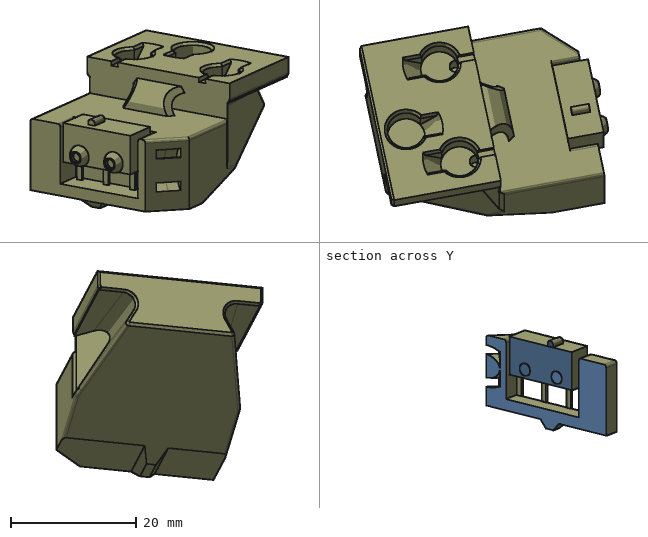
import cadquery as cq
import math


plate_width = 27.08
overall_length = 37.05
overall_height = 19.3
plate_half_width = plate_width / 2
plate_top = 6.0
plate_length = 17.75
plate_edge_depth = 2.85
plate_edge_chamfer = 0.5
plate_edge_round = 0.7
neck_left = -plate_half_width + plate_edge_chamfer
neck_right_inset = 0.22
neck_right = plate_half_width - neck_right_inset
block_left = -13.4
block_right = plate_half_width
block_front = -16.9
block_bottom = -11.95
bevel_leg = 5.07
edge_round = 0.5
rear_chamfer = 0.37
OVERCUT = 22.22
MARGIN = 0.37

nose_bottom = plate_top - overall_height
rear_bottom = -3.07
slope_end_y = -10.85
nose_center_x = -1.8
nose_top_width = 3.85
nose_bottom_width = 1.55

ceiling = plate_top - plate_edge_depth - plate_edge_chamfer
recess_wall_y = 0.22
recess_lip_y = -0.6
recess_skew = 5.5
recess_lean = 29.0
recess_foot_y = 2.15
recess_foot_z = -8.07
recess_round = 2.0
rim_round = 0.75

magnet_diameter = 6.0
pocket_depth = 2.93
pocket_chamfer = 0.45
pry_slot_width = 3.1
pry_slot_chamfer = 0.4
pry_slot_reach = 2.9
front_pocket_x = 8.35
front_pocket_y = 5.7
rear_pocket_x = -1.95
rear_pocket_y = 13.15
groove_width = 1.22
groove_depth = 0.75
wire_hole_diameter = 2.0
wire_hole_y = 3.05
wire_hole_depth = 3.0

loop_outer_radius = 4.0
loop_inner_radius = 3.0
loop_center_x = 0.15
loop_apex_half_width = 3.0

tie_center_z = -5.25
tie_outer_radius = 3.5
tie_inner_radius = 2.0
tie_width = 4.0
tie_center_x = 11.15

switch_width = 12.8
switch_depth = 5.8
switch_height = 6.5
switch_top = 0.7
switch_front = -18.1
switch_back = switch_front + switch_depth
switch_middle_y = switch_front + switch_depth / 2
switch_bottom = switch_top - switch_height
contact_spacing = 5.05
contact_width = 0.9
contact_thickness = 0.5
contact_bottom = -9.22
switch_pocket_left = -7.75
switch_pocket_right = 7.05
switch_pocket_bottom = -9.95

button_x = -1.95
button_width = 1.25
button_length = 2.93
button_height = 0.95

screw_spacing = 6.5
screw_z = -4.25
screw_length = 10.0
shank_diameter = 2.0
head_diameter = 3.5
head_flat_diameter = 2.0
head_height = switch_front - (plate_length - overall_length)
head_bulge_radius = 1.52
socket_diameter = 1.6
socket_depth = 0.6
screw_positions = [-screw_spacing / 2, screw_spacing / 2]


def box(x_min, x_max, y_min, y_max, z_min, z_max):
    size = (x_max - x_min, y_max - y_min, z_max - z_min)
    return cq.Workplane("XY").box(*size, centered=False).translate((x_min, y_min, z_min))


def underside_z(y):
    """Height of the sloped underside at a given Y."""
    slope = (rear_bottom - nose_bottom) / (plate_length - slope_end_y)
    return nose_bottom + slope * (y - slope_end_y)


def make_plate():
    """Plate with its chamfered lower edges and the neck below it."""
    edge_bottom = plate_top - plate_edge_depth
    profile = [
        (plate_half_width, plate_top),
        (plate_half_width, edge_bottom),
        (neck_right, edge_bottom - (plate_half_width - neck_right)),
        (neck_right, 0),
        (neck_left, 0),
        (neck_left, ceiling),
        (-plate_half_width, edge_bottom),
        (-plate_half_width, plate_top),
    ]
    plate = cq.Workplane("XZ").polyline(profile).close().extrude(-plate_length)
    edge_line = cq.selectors.BoxSelector(
        (-plate_half_width - MARGIN, -MARGIN, edge_bottom - MARGIN / 2),
        (plate_half_width + MARGIN, plate_length + MARGIN, edge_bottom + MARGIN / 2))
    return plate.edges("|Y").edges(edge_line).fillet(plate_edge_round)


def make_block():
    """Block under the deck, with its corner bevel, switch pocket and rounded deck edges."""
    outline = [
        (block_left, plate_length),
        (block_left, block_front),
        (block_right - bevel_leg, block_front),
        (block_right, block_front + bevel_leg),
        (block_right, plate_length),
    ]
    block = cq.Workplane("XY").polyline(outline).close().extrude(block_bottom)
    block = block.cut(make_switch_pocket())
    return block.faces(">Z").edges("not |X").fillet(edge_round)


def make_switch_pocket():
    """Open pocket for the switch; its back wall is the back of the switch."""
    return box(switch_pocket_left, switch_pocket_right, block_front - MARGIN, switch_back,
               switch_pocket_bottom, MARGIN)


def make_nose():
    """Tapered ridge under the block, running back into the slope, with a 45 degree front end."""
    profile = [
        (nose_center_x - nose_top_width / 2, block_bottom),
        (nose_center_x + nose_top_width / 2, block_bottom),
        (nose_center_x + nose_bottom_width / 2, nose_bottom),
        (nose_center_x - nose_bottom_width / 2, nose_bottom),
    ]
    ridge = cq.Workplane("XZ").polyline(profile).close().extrude(-block_front)
    nose_height = block_bottom - nose_bottom
    side = [
        (0, block_bottom),
        (block_front, block_bottom),
        (block_front + nose_height, nose_bottom),
        (0, nose_bottom),
    ]
    front_bevel = cq.Workplane("YZ").polyline(side).close().extrude(OVERCUT, both=True)
    return ridge.intersect(front_bevel).cut(make_slope_cutter())


def make_slope_cutter():
    """Everything below the sloped underside."""
    side = [
        (plate_length + MARGIN, underside_z(plate_length + MARGIN)),
        (slope_end_y, nose_bottom),
        (plate_length + MARGIN, nose_bottom - MARGIN),
    ]
    return cq.Workplane("YZ").polyline(side).close().extrude(OVERCUT, both=True)


def make_left_recess():
    """Recess under the left side of the plate: a leaning skewed face behind a 45 degree wall."""
    rise = ceiling - recess_foot_z
    lean = math.tan(math.radians(recess_lean))
    profile = [
        (-OVERCUT * lean, recess_foot_z - OVERCUT),
        (rise * lean, ceiling),
        (-OVERCUT * lean, ceiling),
    ]
    scoop = (
        cq.Workplane("XZ").polyline(profile).close().extrude(OVERCUT, both=True)
        .edges("|Y").edges(">X").fillet(recess_round)
        .rotate((0, 0, 0), (0, 0, 1), -recess_skew)
        .translate((block_left, recess_foot_y, 0))
    )
    plan = [
        (-OVERCUT, recess_lip_y),
        (block_left, recess_lip_y),
        (neck_left, recess_wall_y),
        (neck_left + OVERCUT, recess_wall_y + OVERCUT),
        (-OVERCUT, recess_wall_y + OVERCUT),
    ]
    walls = cq.Workplane("XY").polyline(plan).close().extrude(OVERCUT, both=True)
    return scoop.intersect(walls)


def make_magnet_pocket(x, y, slot_direction):
    """Chamfered round pocket with a conical pry slot on its +Y (1) or -Y (-1) side."""
    radius = magnet_diameter / 2
    floor = plate_top - pocket_depth
    pocket = cq.Workplane("XY", origin=(0, 0, floor)).circle(radius).extrude(pocket_depth)
    rim = cq.Workplane("XY").add(cq.Solid.makeCone(
        radius, radius + pocket_chamfer, pocket_chamfer,
        pnt=cq.Vector(0, 0, plate_top - pocket_chamfer)))
    ramp = cq.Workplane("XY").add(cq.Solid.makeCone(
        radius, radius + pry_slot_reach, pocket_depth, pnt=cq.Vector(0, 0, floor)))
    half_width = pry_slot_width / 2
    slot_profile = [
        (-half_width, floor),
        (half_width, floor),
        (half_width, plate_top - pry_slot_chamfer),
        (half_width + pry_slot_chamfer, plate_top),
        (-half_width - pry_slot_chamfer, plate_top),
        (-half_width, plate_top - pry_slot_chamfer),
    ]
    slot = cq.Workplane("XZ").polyline(slot_profile).close().extrude(-slot_direction * OVERCUT)
    return pocket.union(rim).union(slot.intersect(ramp)).translate((x, y, 0))


def make_front_pocket_extras(x):
    """Groove from a front pocket to the plate's front wall, and the wire hole in the pocket floor."""
    pocket_front = front_pocket_y - magnet_diameter / 2
    groove = box(x - groove_width / 2, x + groove_width / 2, -MARGIN, pocket_front + MARGIN,
                 plate_top - groove_depth, plate_top)
    floor = plate_top - pocket_depth
    wire_hole = (
        cq.Workplane("XY", origin=(x, wire_hole_y, floor))
        .circle(wire_hole_diameter / 2).extrude(-wire_hole_depth)
    )
    return groove.union(wire_hole)


def make_loop():
    """Quarter ring between plate wall and deck, its two ends cut back towards the apex at 45 degrees."""
    inner_middle = loop_inner_radius * math.sqrt(0.5)
    outer_middle = loop_outer_radius * math.sqrt(0.5)
    quarter = (
        cq.Workplane("YZ").moveTo(-loop_inner_radius, 0)
        .threePointArc((-inner_middle, inner_middle), (0, loop_inner_radius))
        .lineTo(0, loop_outer_radius)
        .threePointArc((-outer_middle, outer_middle), (-loop_outer_radius, 0))
        .close().extrude(OVERCUT, both=True)
    )
    foot_half_width = loop_apex_half_width + loop_outer_radius
    ends = (
        cq.Workplane("XY").polyline([
            (-foot_half_width, 0),
            (foot_half_width, 0),
            (loop_apex_half_width, -loop_outer_radius),
            (-loop_apex_half_width, -loop_outer_radius),
        ]).close().extrude(OVERCUT, both=True)
        .rotate((0, 0, 0), (1, 0, 0), -45)
    )
    return quarter.intersect(ends).translate((loop_center_x, 0, 0))


def make_tie_channel():
    """Half ring channel for a cable tie, opening in the corner bevel."""
    bevel_offset = tie_center_x - (block_right - bevel_leg)
    ring = (
        cq.Workplane("XY").circle(tie_outer_radius).circle(tie_inner_radius)
        .extrude(tie_width / 2, both=True)
        .rotate((0, 0, 0), (0, 1, 0), 90)
        .rotate((0, 0, 0), (0, 0, 1), 45)
    )
    return ring.translate((tie_center_x, block_front + bevel_offset, tie_center_z))


def round_recess_rim(body):
    """Soften the short lower rims where the recesses meet the sides of the block."""
    for side_x in (block_left, block_right):
        rim_point = (side_x, recess_foot_y / 2, recess_foot_z)
        body = body.edges(cq.selectors.NearestToPointSelector(rim_point)).fillet(rim_round)
    return body


def round_slope_edges(body):
    """Round the long side edges of the sloped underside."""
    middle_y = plate_length / 4
    underside = body.faces(cq.selectors.NearestToPointSelector((0, middle_y, underside_z(middle_y))))
    return underside.edges("not |X").fillet(edge_round)


def make_screw_holes():
    """Holes that fit the screw shanks."""
    return (
        cq.Workplane("XZ", origin=(0, switch_front, screw_z))
        .pushPoints([(x, 0) for x in screw_positions])
        .circle(shank_diameter / 2).extrude(-screw_length)
    )


def make_housing():
    body = make_plate().union(make_block()).cut(make_slope_cutter())
    left_recess = make_left_recess()
    body = body.cut(left_recess).cut(left_recess.mirror("YZ"))
    body = round_slope_edges(round_recess_rim(body))
    body = body.faces(">Y").chamfer(rear_chamfer)
    body = body.union(make_nose())
    body = body.union(make_loop()).cut(make_tie_channel())
    for x in (-front_pocket_x, front_pocket_x):
        body = body.cut(make_magnet_pocket(x, front_pocket_y, 1))
        body = body.cut(make_front_pocket_extras(x))
    body = body.cut(make_magnet_pocket(rear_pocket_x, rear_pocket_y, -1))
    return body.cut(make_screw_holes())


def make_switch():
    """Switch case with three flat contacts and two screw holes."""
    half_width = switch_width / 2
    switch = box(-half_width, half_width, switch_front, switch_back, switch_bottom, switch_top)
    for x in (-contact_spacing, 0, contact_spacing):
        contact = box(
            x - contact_width / 2, x + contact_width / 2,
            switch_middle_y - contact_thickness / 2, switch_middle_y + contact_thickness / 2,
            contact_bottom, switch_bottom)
        switch = switch.union(contact)
    return switch.cut(make_screw_holes())


def make_button():
    """Round-topped button standing on the switch."""
    half_width = button_width / 2
    shoulder = button_height - half_width
    return (
        cq.Workplane("XZ", origin=(button_x, switch_middle_y - button_length / 2, switch_top))
        .moveTo(-half_width, 0).lineTo(half_width, 0).lineTo(half_width, shoulder)
        .threePointArc((0, button_height), (-half_width, shoulder))
        .close().extrude(-button_length)
    )


def make_screw(x):
    """Domed screw with a round socket; its axis runs along +Y from the switch front."""
    profile = (
        cq.Workplane("XY")
        .moveTo(0, -head_height + socket_depth)
        .lineTo(socket_diameter / 2, -head_height + socket_depth)
        .lineTo(socket_diameter / 2, -head_height)
        .lineTo(head_flat_diameter / 2, -head_height)
        .threePointArc((head_bulge_radius, -head_height / 2), (head_diameter / 2, 0))
        .lineTo(shank_diameter / 2, 0)
        .lineTo(shank_diameter / 2, screw_length)
        .lineTo(0, screw_length)
        .close()
    )
    screw = profile.revolve(360, (0, 0, 0), (0, 1, 0))
    return screw.translate((x, switch_front, screw_z))


housing = make_housing()
switch = make_switch()
button = make_button()
screws = [make_screw(x).val() for x in screw_positions]

result = cq.Compound.makeCompound([housing.val(), switch.val(), button.val(), *screws])